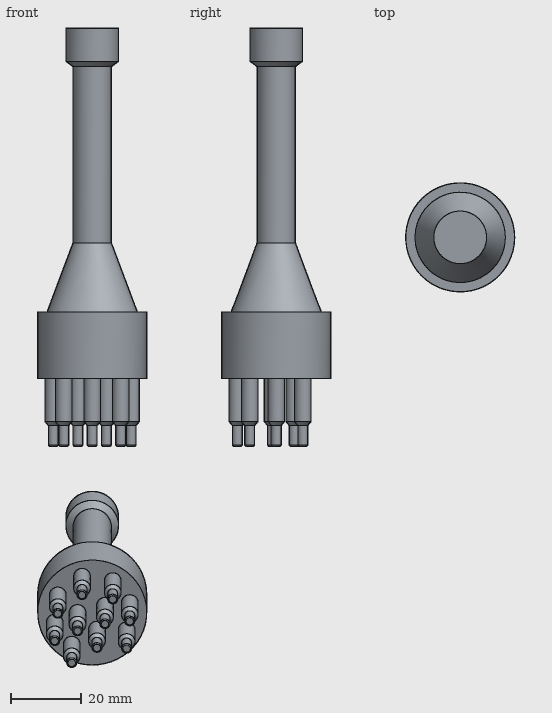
import cadquery as cq
import math

total_height = 119.0
base_bottom = 19.3
base_top = 38.3
cone_top = 58.0
collar_taper_bottom = 108.0
collar_bottom = 109.6

base_diameter = 31.0
cone_diameter = 25.7
stem_diameter = 11.0
collar_diameter = 15.0

pin_diameter = 4.8
tip_diameter = 2.9
shoulder_top = 7.1
shoulder_bottom = 6.0
tip_chamfer = 0.4

outer_circle_radius = 11.1
diagonal_pin_angle = 43

inner_back_y = 5.1
inner_side_x = 4.0
inner_side_y = -1.1


def revolve_profile(half_outline):
    """Revolve (radius, height) points around the Z axis."""
    return cq.Workplane("XZ").polyline(half_outline).close().revolve(360, (0, 0), (0, 1))


def make_body():
    base_radius = base_diameter / 2
    cone_radius = cone_diameter / 2
    stem_radius = stem_diameter / 2
    collar_radius = collar_diameter / 2
    return revolve_profile([
        (0, base_bottom),
        (base_radius, base_bottom),
        (base_radius, base_top),
        (cone_radius, base_top),
        (stem_radius, cone_top),
        (stem_radius, collar_taper_bottom),
        (collar_radius, collar_bottom),
        (collar_radius, total_height),
        (0, total_height),
    ])


def make_pin():
    pin_radius = pin_diameter / 2
    tip_radius = tip_diameter / 2
    return revolve_profile([
        (0, 0),
        (tip_radius - tip_chamfer, 0),
        (tip_radius, tip_chamfer),
        (tip_radius, shoulder_bottom),
        (pin_radius, shoulder_top),
        (pin_radius, base_bottom),
        (0, base_bottom),
    ])


def outer_pin_places():
    diagonal_x = outer_circle_radius * math.cos(math.radians(diagonal_pin_angle))
    diagonal_y = outer_circle_radius * math.sin(math.radians(diagonal_pin_angle))
    places = [(0, -outer_circle_radius)]
    for side in (-1, 1):
        places.append((side * outer_circle_radius, 0))
        places.append((side * diagonal_x, diagonal_y))
        places.append((side * diagonal_x, -diagonal_y))
    return places


inner_pin_places = [
    (0, inner_back_y),
    (-inner_side_x, inner_side_y),
    (inner_side_x, inner_side_y),
]

result = make_body()
pin = make_pin()
for x, y in outer_pin_places() + inner_pin_places:
    result = result.union(pin.translate((x, y, 0)))